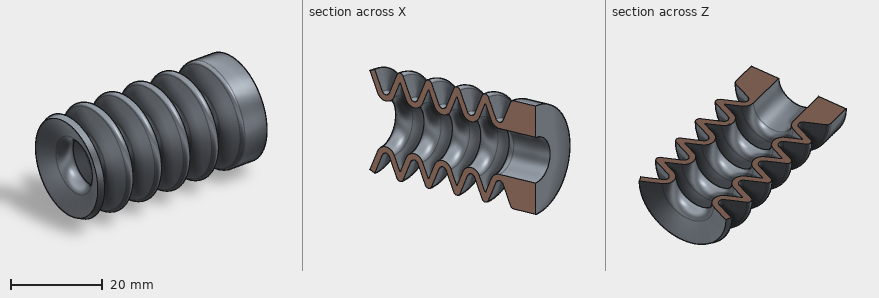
import cadquery as cq
import math

total_length = 45.0
outer_radius = 12.5
throat_radius = 6.75
collar_length = 6.0
fold_pitch = 7.7
throat_count = 5
round_radius = 1.0
wall = 1.55

rear_face = total_length / 2
lip_face = -total_length / 2
collar_front = rear_face - collar_length
half_pitch = fold_pitch / 2

crest_centre = outer_radius - round_radius
throat_centre = throat_radius + round_radius
centre_drop = crest_centre - throat_centre
centre_distance = math.hypot(half_pitch, centre_drop)
cone_angle = math.atan2(half_pitch, centre_drop) - math.asin(2 * round_radius / centre_distance)
cone_slope = math.tan(cone_angle)

throats = [collar_front - half_pitch - i * fold_pitch for i in range(throat_count)]

inner_round = round_radius + wall
bore_radius = throat_centre - inner_round


def arc_end(radius):
    """Axial and radial reach of a rounding arc, from its centre to its tangent cone."""
    return radius * math.cos(cone_angle), radius * math.sin(cone_angle)


def half_arc_middle(radius):
    """Axial and radial reach of the point midway between an arc's apex and its tangent cone."""
    middle_angle = (math.pi / 2 + cone_angle) / 2
    return radius * math.cos(middle_angle), radius * math.sin(middle_angle)


def inner_cone_radius(distance):
    """Radius of the inner cone at an axial distance from its throat."""
    reach, rise = arc_end(inner_round)
    return throat_centre - rise + (distance - reach) / cone_slope


def add_outer_side(outline):
    """Outside from the rear face to the lip."""
    reach, rise = arc_end(round_radius)
    outline = outline.lineTo(rear_face, outer_radius).lineTo(collar_front, outer_radius)
    mid_reach, mid_rise = half_arc_middle(round_radius)
    edge_mid = (collar_front - mid_reach, crest_centre + mid_rise)
    outline = outline.threePointArc(edge_mid, (collar_front - reach, crest_centre + rise))
    for throat in throats:
        outline = outline.lineTo(throat + reach, throat_centre - rise)
        outline = outline.threePointArc((throat, throat_radius), (throat - reach, throat_centre - rise))
        if throat != throats[-1]:
            crest = throat - half_pitch
            outline = outline.lineTo(crest + reach, crest_centre + rise)
            outline = outline.threePointArc((crest, outer_radius), (crest - reach, crest_centre + rise))
    return outline


def add_lip(outline):
    """Square-cut lip: its edge is perpendicular to the cone walls."""
    rim_radius = inner_cone_radius(throats[-1] - lip_face)
    wall_axial, wall_radial = arc_end(wall)
    return outline.lineTo(lip_face + wall_axial, rim_radius + wall_radial).lineTo(lip_face, rim_radius)


def add_inner_side(outline):
    """Inside from the lip back to the rear face; the collar has a straight bore."""
    reach, rise = arc_end(inner_round)
    for throat in reversed(throats):
        outline = outline.lineTo(throat - reach, throat_centre - rise)
        if throat != throats[0]:
            outline = outline.threePointArc((throat, bore_radius), (throat + reach, throat_centre - rise))
            outline = outline.lineTo(throat + half_pitch, inner_cone_radius(half_pitch))
    mid_reach, mid_rise = half_arc_middle(inner_round)
    entry_mid = (throats[0] - mid_reach, throat_centre - mid_rise)
    outline = outline.threePointArc(entry_mid, (throats[0], bore_radius))
    return outline.lineTo(rear_face, bore_radius)


profile = cq.Workplane("YZ").moveTo(rear_face, bore_radius)
profile = add_outer_side(profile)
profile = add_lip(profile)
profile = add_inner_side(profile)

result = profile.close().revolve(360, (0, 0, 0), (1, 0, 0))